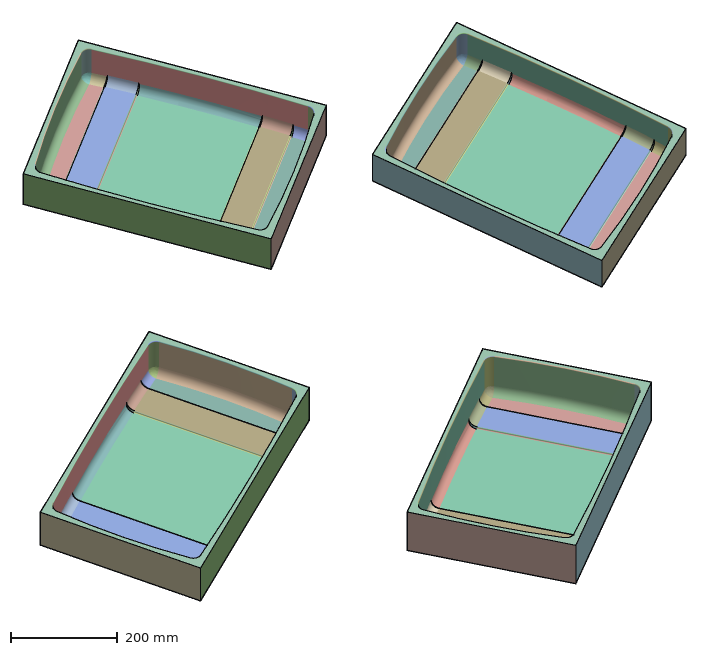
import cadquery as cq
import math

INCH = 25.4

LENGTH = 19.25 * INCH
WIDTH = 13 * INCH
HEIGHT = 3.75 * INCH

FLOOR_THICKNESS = 0.25 * INCH
WALL_AT_END = 0.375 * INCH
WALL_AT_SIDE = 0.34 * INCH
END_BOW = 7.5
SIDE_BOW = 5.5
CORNER_RADIUS = 0.625 * INCH
FLOOR_FILLET = 0.62 * INCH
RIM_ROUND = 0.0625 * INCH

PAD_INNER_X = 4.75 * INCH
PAD_OUTER_X = 7.25 * INCH
PAD_RISE = 0.125 * INCH
STEP_RADIUS = PAD_RISE / 2

WALL_OVERLAP = 0.2

HALF_X = LENGTH / 2 - WALL_AT_END
HALF_Y = WIDTH / 2 - WALL_AT_SIDE
CORNER_X = HALF_X - END_BOW
CORNER_Y = HALF_Y - SIDE_BOW


def block(length, height, centre_x=0):
    """Full-width box standing on the base plane, centred on centre_x."""
    return (
        cq.Workplane("XY", origin=(centre_x, 0, 0))
        .box(length, WIDTH, height, centered=(True, True, False))
    )


def pocket_above(floor_z):
    """Pocket volume from a floor at floor_z up to the top of the block."""
    return (
        cq.Workplane("XY", origin=(0, 0, floor_z))
        .moveTo(-CORNER_X, -CORNER_Y)
        .threePointArc((0, -HALF_Y), (CORNER_X, -CORNER_Y))
        .threePointArc((HALF_X, 0), (CORNER_X, CORNER_Y))
        .threePointArc((0, HALF_Y), (-CORNER_X, CORNER_Y))
        .threePointArc((-HALF_X, 0), (-CORNER_X, -CORNER_Y))
        .close()
        .extrude(HEIGHT - floor_z)
        .edges("|Z")
        .fillet(CORNER_RADIUS)
        .faces("<Z")
        .edges()
        .fillet(FLOOR_FILLET)
    )


def side_wall_y(x):
    """Distance from the centre line to the long walls at x."""
    bow_radius = (CORNER_X**2 + SIDE_BOW**2) / (2 * SIDE_BOW)
    return HALF_Y - bow_radius + math.sqrt(bow_radius**2 - x**2)


def step_blend(step_x, uphill):
    """Slice of pocket whose floor climbs PAD_RISE in an S-curve, toward +X when uphill is 1."""
    start_x = step_x - uphill * STEP_RADIUS
    end_x = step_x + uphill * STEP_RADIUS
    low_z = FLOOR_THICKNESS
    wall_y = side_wall_y(min(abs(start_x), abs(end_x))) + WALL_OVERLAP
    floor_y = wall_y - FLOOR_FILLET
    section = (
        cq.Workplane("YZ", origin=(start_x, 0, 0))
        .moveTo(-wall_y, HEIGHT)
        .lineTo(-wall_y, low_z + FLOOR_FILLET)
        .radiusArc((-floor_y, low_z), -FLOOR_FILLET)
        .lineTo(floor_y, low_z)
        .radiusArc((wall_y, low_z + FLOOR_FILLET), -FLOOR_FILLET)
        .lineTo(wall_y, HEIGHT)
        .close()
    )
    s_curve = (
        cq.Workplane("XZ")
        .moveTo(start_x, low_z)
        .radiusArc((step_x, low_z + STEP_RADIUS), -uphill * STEP_RADIUS)
        .radiusArc((end_x, low_z + PAD_RISE), uphill * STEP_RADIUS)
    )
    return section.sweep(s_curve, normal=(1, 0, 0))


def pad(side):
    """Raised floor strip with an S-shaped step along each long edge."""
    centre_x = side * (PAD_INNER_X + PAD_OUTER_X) / 2
    width = PAD_OUTER_X - PAD_INNER_X
    crown = block(width - 2 * STEP_RADIUS, HEIGHT, centre_x)
    return (
        block(width + 2 * STEP_RADIUS, HEIGHT / 2, centre_x)
        .cut(pocket_above(FLOOR_THICKNESS + PAD_RISE).intersect(crown))
        .cut(step_blend(side * PAD_INNER_X, side))
        .cut(step_blend(side * PAD_OUTER_X, -side))
    )


def round_rim(tray):
    """Round the top edge of the pocket, leaving the outer edges sharp."""
    margin = 1
    rim = cq.selectors.BoxSelector(
        (margin - LENGTH / 2, margin - WIDTH / 2, HEIGHT - margin),
        (LENGTH / 2 - margin, WIDTH / 2 - margin, HEIGHT + margin),
    )
    return tray.edges(rim).fillet(RIM_ROUND)


pocket = pocket_above(FLOOR_THICKNESS)
for side in (-1, 1):
    pocket = pocket.cut(pad(side))

result = round_rim(block(LENGTH, HEIGHT).cut(pocket))